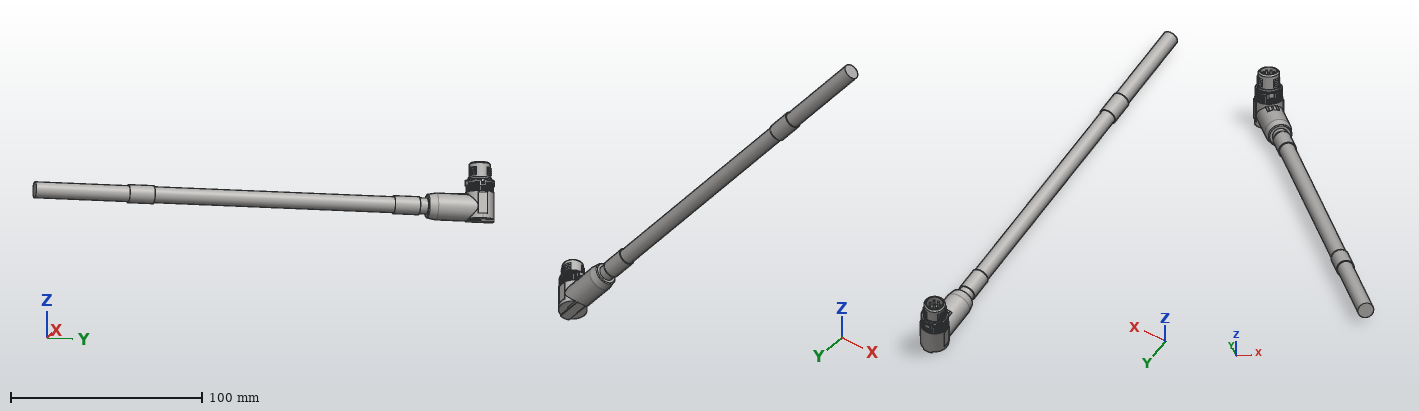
import cadquery as cq


grip_diameter = 14.2
grip_radius = grip_diameter / 2
grip_taper_y = -23.7
grip_end_y = -28.6
grip_end_diameter = 12.4
grip_end_chamfer = 0.5

body_diameter = 15.0
body_radius = body_diameter / 2
body_bottom = -6.2
body_top = 8.2
side_pad_width = 5.0
side_pad_bottom = -3.8
side_pad_top = 7.4
bottom_pad_width = 5.4

overall_length = 246.9
front_tab_reach = 7.7
cable_diameter = 8.5
cable_end_y = front_tab_reach - overall_length
sleeve_diameter = 9.6
sleeve_length = 13.5
sleeve_starts_y = (-32.8, -175.4)

key_block_width = 6.4
key_block_end_y = -12.2
key_step_width = 4.0
key_step_height = 0.35
key_slot_width = 0.8

ring_diameter = 14.4
ring_radius = ring_diameter / 2
ring_top = 14.8
ring_chamfer = 0.3
knurl_count = 40
knurl_depth = 0.35
knurl_groove_width = 0.55
ring_groove_bottom = 12.9
ring_groove_top = 13.9
ring_groove_depth = 0.35
tab_slot_bottom = 10.8
tab_bottom = 11.8
tab_slot_margin = 1.0
side_tab_width = 1.6
front_tab_width = 2.8
tab_widths_by_angle = {
    0: front_tab_width,
    90: side_tab_width,
    180: front_tab_width,
    270: side_tab_width,
}

overall_height = 31.15
plug_top = overall_height - grip_radius
plug_diameter = 11.2
plug_radius = plug_diameter / 2
plug_chamfer = 0.8
collar_diameter = 12.2
collar_top = 15.9
thread_diameter = 12.2
thread_pitch = 1.1
thread_turns = 4
thread_bottom = 16.9
thread_overlap = 0.2
thread_sectors = ((137, 223), (285, 330), (30, 75))

socket_diameter = 8.6
socket_depth = 6.0
pin_diameter = 1.0
pin_length = 5.0
pin_circle_diameter = 5.5
outer_pin_count = 7


def upright_cylinder(diameter, bottom, top):
    return cq.Workplane("XY").workplane(offset=bottom).circle(diameter / 2).extrude(top - bottom)


def cable_cylinder(diameter, start_y, end_y):
    """Cylinder along the cable axis, running toward -Y."""
    return cq.Workplane("XZ", origin=(0, start_y, 0)).circle(diameter / 2).extrude(start_y - end_y)


def block(x_range, y_range, z_range):
    size = [high - low for low, high in (x_range, y_range, z_range)]
    corner = (x_range[0], y_range[0], z_range[0])
    return cq.Workplane("XY").box(*size, centered=False).translate(corner)


def centered_range(middle, width):
    return (middle - width / 2, middle + width / 2)


def make_housing():
    """Upright cylinder with a flat pad on its -X and +X sides and another underneath."""
    body = upright_cylinder(body_diameter, body_bottom, body_top)
    side_pads = block(
        (-body_radius, body_radius),
        centered_range(0, side_pad_width),
        (side_pad_bottom, side_pad_top),
    )
    bottom_pad = upright_cylinder(body_diameter, -grip_radius, body_bottom).intersect(
        block(
            centered_range(0, bottom_pad_width),
            (-body_radius, body_radius),
            (-grip_radius, body_bottom),
        )
    )
    return body.union(side_pads).union(bottom_pad)


def make_grip():
    grip = cable_cylinder(grip_diameter, 0, grip_taper_y)
    taper = (
        cq.Workplane("XZ", origin=(0, grip_taper_y, 0))
        .circle(grip_radius)
        .workplane(offset=grip_taper_y - grip_end_y)
        .circle(grip_end_diameter / 2)
        .loft()
        .faces("<Y")
        .chamfer(grip_end_chamfer)
    )
    return grip.union(taper)


def make_cable():
    cable = cable_cylinder(cable_diameter, grip_end_y, cable_end_y)
    for start_y in sleeve_starts_y:
        cable = cable.union(cable_cylinder(sleeve_diameter, start_y, start_y - sleeve_length))
    return cable


def make_key_block():
    """Block with a raised middle band that is split by a slot."""
    key_length = (key_block_end_y, 0)
    step_z = grip_radius - key_step_height
    base = block(centered_range(0, key_block_width), key_length, (0, step_z))
    band = block(centered_range(0, key_step_width), key_length, (step_z, grip_radius))
    slot = block(centered_range(0, key_slot_width), key_length, (step_z, grip_radius))
    return base.union(band.cut(slot))


def make_knurl_cutter():
    """V grooves around the ring, from the housing up to the smooth groove."""
    root_radius = ring_radius - knurl_depth
    outer_radius = ring_radius + knurl_depth
    groove = (
        cq.Workplane("XY")
        .workplane(offset=body_top)
        .moveTo(root_radius, 0)
        .lineTo(outer_radius, knurl_groove_width)
        .lineTo(outer_radius, -knurl_groove_width)
        .close()
        .extrude(ring_groove_bottom - body_top)
        .val()
    )
    angles = [(number + 0.5) * 360 / knurl_count for number in range(knurl_count)]
    grooves = [groove.rotate(cq.Vector(0, 0, 0), cq.Vector(0, 0, 1), angle) for angle in angles]
    return cq.Workplane(cq.Compound.makeCompound(grooves))


def make_ring_groove():
    """Ring-shaped groove that runs down one side of each tab and up the other."""
    reach = ring_diameter
    groove = upright_cylinder(2 * reach, ring_groove_bottom, ring_groove_top)
    for angle, width in tab_widths_by_angle.items():
        slot_width = width + 2 * tab_slot_margin
        slot = block(centered_range(0, slot_width), (0, reach), (tab_slot_bottom, ring_groove_top))
        tab = block(centered_range(0, width), (0, reach), (tab_bottom, ring_top))
        groove = groove.union(slot.rotate((0, 0, 0), (0, 0, 1), angle))
        groove = groove.cut(tab.rotate((0, 0, 0), (0, 0, 1), angle))
    floor_diameter = ring_diameter - 2 * ring_groove_depth
    return groove.cut(upright_cylinder(floor_diameter, body_top, ring_top))


def make_raised_tabs():
    """The two wide tabs stand proud of the ring, toward -Y and +Y."""
    return block(
        centered_range(0, front_tab_width),
        (-front_tab_reach, front_tab_reach),
        (tab_bottom, ring_top - ring_chamfer),
    )


def make_ring():
    ring = upright_cylinder(ring_diameter, body_top, ring_top).faces(">Z").chamfer(ring_chamfer)
    ring = ring.cut(make_knurl_cutter()).cut(make_ring_groove())
    return ring.union(make_raised_tabs())


def make_thread(start, end):
    """Thread ridges over one sector, counter-clockwise from start to end angle."""
    crest_radius = thread_diameter / 2
    inner_radius = plug_radius - thread_overlap
    profile = cq.Workplane("XZ").moveTo(inner_radius, thread_bottom).lineTo(plug_radius, thread_bottom)
    for turn in range(thread_turns):
        low = thread_bottom + turn * thread_pitch
        profile = profile.lineTo(crest_radius, low + thread_pitch / 2)
        profile = profile.lineTo(plug_radius, low + thread_pitch)
    profile = profile.lineTo(inner_radius, thread_bottom + thread_turns * thread_pitch).close()
    sector = profile.revolve(end - start, (0, 0, 0), (0, -1, 0))
    return sector.rotate((0, 0, 0), (0, 0, 1), end)


def make_plug():
    plug = upright_cylinder(plug_diameter, ring_top, plug_top).faces(">Z").chamfer(plug_chamfer)
    plug = plug.union(upright_cylinder(collar_diameter, ring_top, collar_top))
    for start, end in thread_sectors:
        plug = plug.union(make_thread(start, end))
    socket_floor = plug_top - socket_depth
    plug = plug.cut(upright_cylinder(socket_diameter, socket_floor, plug_top))
    pins = (
        cq.Workplane("XY")
        .workplane(offset=socket_floor)
        .polarArray(pin_circle_diameter / 2, 0, 360, outer_pin_count)
        .circle(pin_diameter / 2)
        .extrude(pin_length)
    )
    center_pin = upright_cylinder(pin_diameter, socket_floor, socket_floor + pin_length)
    return plug.union(pins).union(center_pin)


result = make_housing()
for piece in (make_grip(), make_cable(), make_key_block(), make_ring(), make_plug()):
    result = result.union(piece)